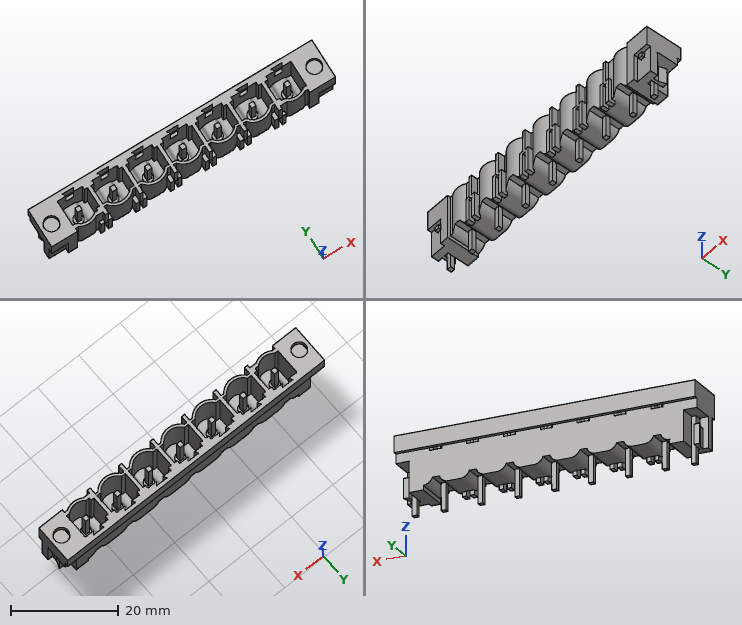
import cadquery as cq
import math


length = 62.2
height = 11.65
front_y = -3.8
back_y = 3.8
flange_back_y = 4.6
flange_height = 3.35
block_length = 5.65

contact_count = 7
row_span = 45.7
pitch = row_span / (contact_count - 1)
contact_places = [i * pitch - row_span / 2 for i in range(contact_count)]
divider_places = [x + pitch / 2 for x in contact_places[:-1]]

wire = 1.0
tail_length = 3.3
contact_drop = 1.0
collar_radius = 1.05
collar_height = 0.3

chamber_radius = 3.1
shell_radius = 3.7
chamber_half_width = 2.75
chamber_back_y = 3.1
side_half_width = 3.4
side_back_y = 2.35
side_front_y = -1.8
wall_front_y = -2.3
end_chamber_front_y = -2.35
end_wall_front_y = -3.1

underside_z = 0.95
floor_thickness = 0.8
floor_z = underside_z + floor_thickness
hump_half_width = 2.55
hump_top_half_width = 0.7
hump_rise = 1.3

key_depth = 3.85
key_neck_width = 1.55
key_head_width = 2.5

rib_width = 0.75
foot_width = 2.5
foot_height = 6.2
foot_slot_height = 5.5

screw_offset = 2.3
peg_offset = 2.25
screw_diameter = 3.1
screw_depth = 1.25
nut_pocket_width = 3.5
nut_pocket_length = 5.2
nut_pocket_bottom = 2.7
recess_width = 3.7
recess_depth = 0.95
recess_height = 6.7
peg_pocket_front_y = -1.1
peg_pocket_height = 6.35
peg_top_z = 6.2
peg_front_y = -3.5

clip_height = 4.1
clip_thickness = 0.7
clip_tip_thickness = 1.1
clip_back_y = 1.6
clip_flare = 0.55


def box(x0, x1, y0, y1, z0, z1):
    return cq.Workplane("XY").box(x1 - x0, y1 - y0, z1 - z0, centered=False).translate((x0, y0, z0))


def centred_box(x, width, y0, y1, z0, z1):
    return box(x - width / 2, x + width / 2, y0, y1, z0, z1)


def cylinder(x, radius, z0, z1):
    return cq.Workplane("XY", origin=(x, 0, z0)).circle(radius).extrude(z1 - z0)


def both_ends(left_shape):
    return [left_shape, left_shape.mirror("YZ")]


def hump(x, base_z, top_radius):
    """Bar along Y with a flat top, concave flanks and top edges rounded to top_radius."""
    run = hump_half_width - hump_top_half_width
    turn = 2 * math.atan(hump_rise / run)
    foot_radius = run / math.sin(turn) - top_radius

    def foot_point(side, angle):
        across = hump_half_width - foot_radius * math.sin(angle)
        return side * across, foot_radius * (1 - math.cos(angle))

    def top_point(side, angle):
        across = hump_top_half_width + top_radius * math.sin(angle)
        return side * across, hump_rise - top_radius * (1 - math.cos(angle))

    outline = cq.Workplane("XZ", origin=(x, flange_back_y, base_z)).moveTo(*foot_point(-1, 0))
    outline = outline.threePointArc(foot_point(-1, turn / 2), foot_point(-1, turn))
    if top_radius > 0:
        outline = outline.threePointArc(top_point(-1, turn / 2), top_point(-1, 0))
    outline = outline.lineTo(*top_point(1, 0))
    if top_radius > 0:
        outline = outline.threePointArc(top_point(1, turn / 2), top_point(1, turn))
    outline = outline.threePointArc(foot_point(1, turn / 2), foot_point(1, 0)).close()
    return outline.extrude(flange_back_y - front_y)


def chamber(index):
    """Hollow around one contact, with the floor hump and contact collar left standing."""
    x = contact_places[index]
    is_first = index == 0
    is_last = index == contact_count - 1
    front = end_chamber_front_y if is_first or is_last else side_front_y
    bay_left = x - (chamber_half_width if is_first else side_half_width)
    bay_right = x + (chamber_half_width if is_last else side_half_width)

    hollow = centred_box(x, 2 * chamber_half_width, front, chamber_back_y, floor_z, height)
    hollow = hollow.union(box(bay_left, bay_right, side_front_y, side_back_y, floor_z, height))
    round_limit = centred_box(x, 2 * hump_half_width, -chamber_radius, 0, floor_z, height)
    hollow = hollow.union(cylinder(x, chamber_radius, floor_z, height).intersect(round_limit))

    collar_top = floor_z + hump_rise + collar_height
    return hollow.cut(hump(x, floor_z, floor_thickness)).cut(cylinder(x, collar_radius, floor_z, collar_top))


def key_slot(x):
    outline = [
        (x - key_neck_width / 2, chamber_back_y),
        (x - key_head_width / 2, back_y),
        (x + key_head_width / 2, back_y),
        (x + key_neck_width / 2, chamber_back_y),
    ]
    return cq.Workplane("XY", origin=(0, 0, height - key_depth)).polyline(outline).close().extrude(key_depth)


def outer_body():
    half = length / 2
    body = box(-half, half, wall_front_y, back_y, underside_z, height)
    body = body.union(box(-half, half, back_y, flange_back_y, height - flange_height, height))
    for x in contact_places:
        body = body.union(cylinder(x, shell_radius, underside_z, height))
    end_wall = box(-half, divider_places[0], end_wall_front_y, wall_front_y, underside_z, height)
    block = box(-half, block_length - half, front_y, back_y, 0, height)
    for shape in both_ends(end_wall) + both_ends(block):
        body = body.union(shape)
    return body


def divider_foot(x):
    """Rib down the front of a divider, widening into a slotted foot."""
    rib = centred_box(x, rib_width, front_y, wall_front_y, foot_height, height)
    return rib.union(centred_box(x, foot_width, front_y, wall_front_y, 0, foot_height))


def foot_slot(x):
    return centred_box(x, rib_width, front_y, wall_front_y, 0, foot_slot_height)


def screw_hole():
    x = screw_offset - length / 2
    nut_top = height - screw_depth
    nut_bottom = height - nut_pocket_bottom
    half_length = nut_pocket_length / 2
    pocket = centred_box(x, nut_pocket_width, -half_length, half_length, nut_bottom, nut_top)
    return cylinder(x, screw_diameter / 2, nut_top, height).union(pocket)


def end_recesses():
    """Front recess and peg pocket at the lower corner of an end block."""
    end = -length / 2
    recess = box(end, end + recess_width, front_y, front_y + recess_depth, 0, recess_height)
    pocket_depth = peg_offset + wire / 2
    return recess.union(box(end, end + pocket_depth, peg_pocket_front_y, back_y, 0, peg_pocket_height))


def clip():
    """Retaining tab outside the peg, flared outward at its free end."""
    inner = peg_offset - wire / 2
    outer = inner - clip_thickness
    outline = [
        (outer, peg_pocket_front_y),
        (outer, 0),
        (outer - clip_flare, clip_back_y),
        (outer - clip_flare + clip_tip_thickness, clip_back_y),
        (inner, wire / 2),
        (inner, peg_pocket_front_y),
    ]
    return cq.Workplane("XY", origin=(-length / 2, 0, 0)).polyline(outline).close().extrude(clip_height)


def make_contact(x):
    return centred_box(x, wire, -wire / 2, wire / 2, -tail_length, height - contact_drop)


def make_peg():
    """Board peg: a vertical leg with a bar bent forward through the block wall."""
    x = peg_offset - length / 2
    leg = centred_box(x, wire, -wire / 2, wire / 2, -tail_length, peg_top_z)
    return leg.union(centred_box(x, wire, peg_front_y, wire / 2, peg_top_z - wire, peg_top_z))


def make_housing(contacts, pegs):
    housing = outer_body()
    for x in divider_places:
        housing = housing.union(divider_foot(x)).cut(foot_slot(x))
    for index, x in enumerate(contact_places):
        housing = housing.cut(chamber(index)).cut(hump(x, underside_z, 0)).cut(key_slot(x))
    for shape in both_ends(screw_hole()) + both_ends(end_recesses()):
        housing = housing.cut(shape)
    for shape in both_ends(clip()):
        housing = housing.union(shape)
    for shape in contacts + pegs:
        housing = housing.cut(shape)
    return housing


contacts = [make_contact(x) for x in contact_places]
pegs = both_ends(make_peg())
housing = make_housing(contacts, pegs)

result = cq.Compound.makeCompound([
    housing.val(),
    *[contact.val() for contact in contacts],
    *[peg.val() for peg in pegs],
])